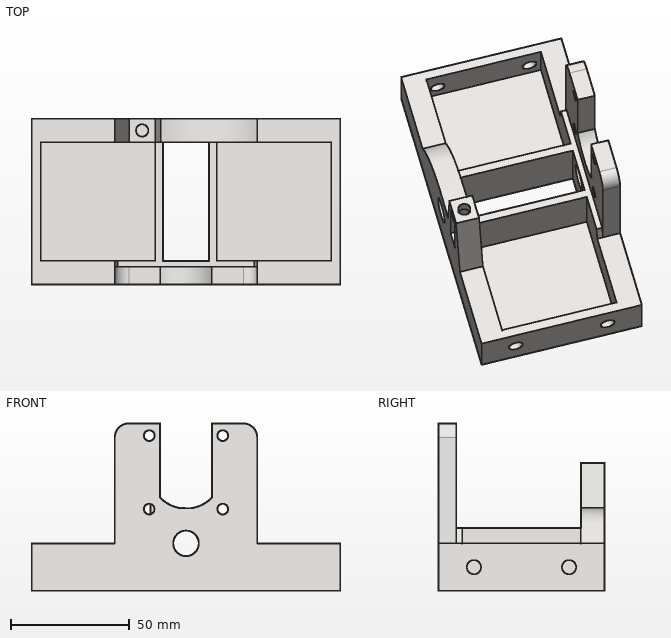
import cadquery as cq

length = 130.0
width = 70.0
base_height = 20.0
side_wall = 10.0
end_wall = 3.9
floor_thickness = 3.0
inner_width = width - 2 * side_wall

bay_width = 19.2
partition_thickness = 3.4
partition_height = 26.5
partition_outer_x = bay_width / 2 + partition_thickness
pocket_length = length / 2 - end_wall - partition_outer_x

plate_width = 60.0
plate_thickness = 7.5
plate_height = 70.6
plate_corner_radius = 6.0
slot_width = 21.7
slot_radius = 15.2
motor_center_z = 49.9
motor_hole_spacing = 31.0
motor_hole_diameter = 4.4

strip_thickness = side_wall - plate_thickness
strip_top_width = 57.5

arch_top = 35.0
post_left = -23.9
post_right = -13.0
post_foot_right = -9.1
post_height = 54.0
post_hole_diameter = 5.2
nut_window_width = 7.0
nut_window_bottom = 27.3
nut_window_top = 49.0

shaft_hole_diameter = 10.7
end_hole_diameter = 6.0
end_hole_spacing = 40.0
end_hole_z = base_height / 2

front_y = -width / 2
pocket_front_y = -inner_width / 2
rear_wall_y = inner_width / 2
post_center_x = (post_left + post_right) / 2


def box(size_x, size_y, size_z, x, y, z):
    """Box centred on x and y, with its underside at z."""
    return cq.Workplane("XY").box(size_x, size_y, size_z, centered=(True, True, False)).translate((x, y, z))


def profile_at(y):
    """XZ sketch plane at the given Y; positive extrusion goes toward -Y."""
    return cq.Workplane(cq.Plane(origin=(0, y, 0), xDir=(1, 0, 0), normal=(0, -1, 0)))


def make_base():
    base = box(length, width, base_height, 0, 0, 0)
    base = base.cut(box(bay_width, inner_width, base_height, 0, 0, 0))
    for side in (-1, 1):
        pocket_x = side * (partition_outer_x + pocket_length / 2)
        partition_x = side * (bay_width + partition_thickness) / 2
        base = base.cut(box(pocket_length, inner_width, base_height, pocket_x, 0, floor_thickness))
        base = base.union(box(partition_thickness, inner_width, partition_height, partition_x, 0, 0))
    return base


def make_motor_plate():
    plate = box(plate_width, plate_thickness, plate_height, 0, front_y + plate_thickness / 2, 0)
    plate = plate.edges("|Y and >Z").fillet(plate_corner_radius)
    slot_bottom = motor_center_z - slot_radius
    slot = box(slot_width, width, plate_height, 0, 0, slot_bottom)
    round_bottom = profile_at(0).center(0, motor_center_z).circle(slot_radius).extrude(width / 2, both=True)
    slot_top = box(slot_width, width, plate_height, 0, 0, motor_center_z)
    plate = plate.cut(slot.intersect(round_bottom.union(slot_top)))
    holes = (
        profile_at(front_y)
        .center(0, motor_center_z)
        .rect(motor_hole_spacing, motor_hole_spacing, forConstruction=True)
        .vertices()
        .circle(motor_hole_diameter / 2)
        .extrude(-plate_thickness)
    )
    return plate.cut(holes)


def make_strip():
    return (
        profile_at(pocket_front_y)
        .moveTo(-plate_width / 2, base_height)
        .lineTo(plate_width / 2, base_height)
        .lineTo(strip_top_width / 2, partition_height)
        .lineTo(-strip_top_width / 2, partition_height)
        .close()
        .extrude(strip_thickness)
    )


def make_rear_wall():
    arch = (
        profile_at(rear_wall_y)
        .moveTo(-plate_width / 2, base_height)
        .threePointArc((0, arch_top), (plate_width / 2, base_height))
        .close()
        .extrude(-side_wall)
    )
    post = (
        profile_at(rear_wall_y)
        .moveTo(-plate_width / 2, base_height)
        .lineTo(post_left, post_height)
        .lineTo(post_right, post_height)
        .lineTo(post_foot_right, base_height)
        .close()
        .extrude(-side_wall)
    )
    wall_center_y = rear_wall_y + side_wall / 2
    window_height = nut_window_top - nut_window_bottom
    window = box(nut_window_width, side_wall, window_height, post_center_x, wall_center_y, nut_window_bottom)
    screw_hole = (
        cq.Workplane("XY", origin=(post_center_x, wall_center_y, nut_window_top))
        .circle(post_hole_diameter / 2)
        .extrude(post_height - nut_window_top)
    )
    return arch.union(post).cut(window).cut(screw_hole)


def make_shaft_hole():
    """Bore along Y through the front and rear walls."""
    return (
        profile_at(0)
        .center(0, base_height)
        .circle(shaft_hole_diameter / 2)
        .extrude(width / 2, both=True)
    )


def make_end_holes():
    """Two holes through each end wall, opening into the pockets."""
    holes = cq.Workplane("YZ", origin=(-length / 2, 0, end_hole_z))
    holes = holes.pushPoints([(-end_hole_spacing / 2, 0), (end_hole_spacing / 2, 0)])
    holes = holes.circle(end_hole_diameter / 2).extrude(end_wall)
    return holes.union(holes.mirror("YZ"))


body = make_base().union(make_motor_plate()).union(make_strip()).union(make_rear_wall())
result = body.cut(make_shaft_hole()).cut(make_end_holes())